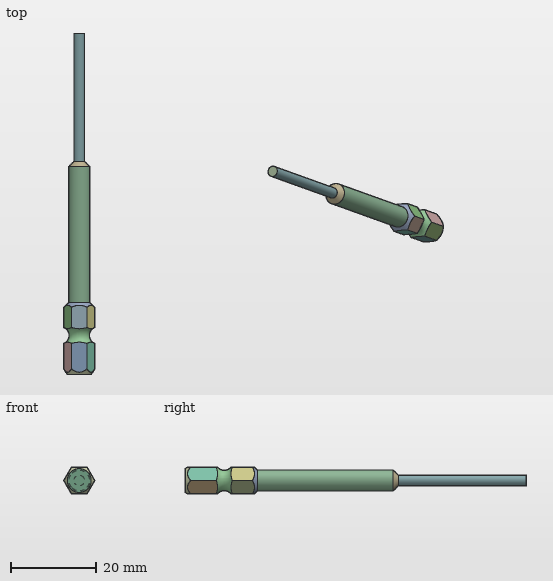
import cadquery as cq
import math

total_length = 80.0
pin_diameter = 2.5
pin_length = 30.0
shank_diameter = 5.0

hex_across_flats = 6.3
hex_across_corners = hex_across_flats / math.cos(math.pi / 6)
hex_length = 17.0
end_face_diameter = 5.6
end_chamfer_length = 1.4

groove_position = 9.2
groove_floor_diameter = 4.8
groove_radius = 2.0


def revolve_about_axis(profile):
    """Turn a closed XY profile a full revolution around the Y axis."""
    return profile.close().revolve(360, (0, 0, 0), (0, 1, 0))


def shank_and_pin():
    """Round shank that tapers at 45 degrees to the thin pin."""
    shank_radius = shank_diameter / 2
    pin_radius = pin_diameter / 2
    pin_start = total_length - pin_length
    taper_start = pin_start - (shank_radius - pin_radius)
    profile = (
        cq.Workplane("XY")
        .moveTo(0, hex_length)
        .lineTo(shank_radius, hex_length)
        .lineTo(shank_radius, taper_start)
        .lineTo(pin_radius, pin_start)
        .lineTo(pin_radius, total_length)
        .lineTo(0, total_length)
    )
    return revolve_about_axis(profile)


def hex_envelope():
    """Turned shape that chamfers the hexagon corners at both ends."""
    corner_radius = hex_across_corners / 2
    shank_radius = shank_diameter / 2
    front_cone_start = hex_length - (corner_radius - shank_radius)
    profile = (
        cq.Workplane("XY")
        .lineTo(end_face_diameter / 2, 0)
        .lineTo(corner_radius, end_chamfer_length)
        .lineTo(corner_radius, front_cone_start)
        .lineTo(shank_radius, hex_length)
        .lineTo(0, hex_length)
    )
    return revolve_about_axis(profile)


def groove_ring():
    """Ring of circular section that cuts the retaining groove."""
    ring_radius = groove_floor_diameter / 2 + groove_radius
    section = cq.Workplane("XY").center(ring_radius, groove_position).circle(groove_radius)
    return section.revolve(360, (-ring_radius, 0, 0), (-ring_radius, 1, 0))


def hex_drive():
    """Hexagonal bar with chamfered ends and the retaining groove."""
    bar = cq.Workplane("XZ").polygon(6, hex_across_corners).extrude(-hex_length)
    return bar.intersect(hex_envelope()).cut(groove_ring())


result = hex_drive().union(shank_and_pin())